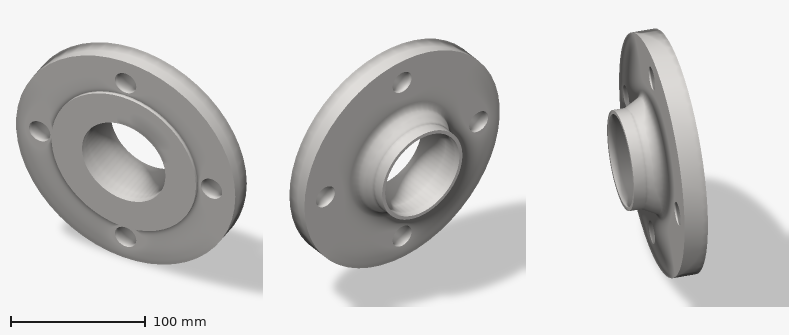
import cadquery as cq

flange_diameter = 185.0
flange_thickness = 18.0
face_diameter = 122.0
face_height = 3.0
bore_diameter = 70.3

overall_length = 45.0
neck_diameter = 76.0
neck_length = 10.0
hub_base_diameter = 90.6
hub_fillet = 6.0

bolt_count = 4
bolt_circle_diameter = 145.0
bolt_hole_diameter = 18.0

flange_back = face_height + flange_thickness
hub_end = overall_length - neck_length


def flange_body():
    """Solid of revolution about Y: raised face, plate, tapered hub and neck."""
    profile = (
        cq.Workplane("XY")
        .moveTo(0, 0)
        .lineTo(face_diameter / 2, 0)
        .lineTo(face_diameter / 2, face_height)
        .lineTo(flange_diameter / 2, face_height)
        .lineTo(flange_diameter / 2, flange_back)
        .lineTo(hub_base_diameter / 2, flange_back)
        .lineTo(neck_diameter / 2, hub_end)
        .lineTo(neck_diameter / 2, overall_length)
        .lineTo(0, overall_length)
        .close()
    )
    body = profile.revolve(360, (0, 0, 0), (0, 1, 0))
    hub_root = cq.selectors.BoxSelector(
        (-hub_base_diameter, flange_back - 0.2, -hub_base_diameter),
        (hub_base_diameter, flange_back + 0.2, hub_base_diameter),
    )
    root_edge = body.edges("%CIRCLE").edges(hub_root).edges(cq.selectors.RadiusNthSelector(0))
    return root_edge.fillet(hub_fillet)


def through_cutter(diameter):
    """Cylinder along +Y spanning the whole part, centred on the Y axis."""
    return cq.Workplane("XZ").circle(diameter / 2).extrude(-overall_length)


result = flange_body().cut(through_cutter(bore_diameter))

for index in range(bolt_count):
    hole = through_cutter(bolt_hole_diameter).translate((bolt_circle_diameter / 2, 0, 0))
    angle = index * 360 / bolt_count
    result = result.cut(hole.rotate((0, 0, 0), (0, 1, 0), angle))